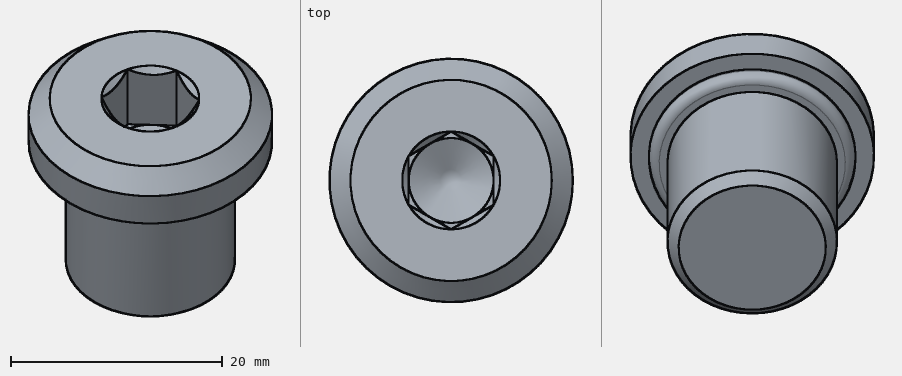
import cadquery as cq
import math

total_height = 21.5
head_diameter = 23.0
head_height = 5.5
head_chamfer = 2.0
shank_diameter = 16.0
shank_chamfer_width = 1.05
shank_chamfer_height = 1.0

socket_flats = 8.0
socket_depth = 7.0
socket_corners = socket_flats / math.cos(math.radians(30))
countersink_depth = (socket_corners - socket_flats) / 2
drill_diameter = socket_flats
drill_point_angle = 120.0
drill_point_depth = drill_diameter / 2 / math.tan(math.radians(drill_point_angle / 2))

ring_diameter = 19.5
ring_height = 1.22
ring_edge_radius = 0.97

head_bottom = total_height - head_height


def make_plug_blank():
    head_radius = head_diameter / 2
    shank_radius = shank_diameter / 2
    return (
        cq.Workplane("XZ")
        .moveTo(0, 0)
        .lineTo(shank_radius - shank_chamfer_width, 0)
        .lineTo(shank_radius, shank_chamfer_height)
        .lineTo(shank_radius, head_bottom)
        .lineTo(head_radius, head_bottom)
        .lineTo(head_radius, total_height - head_chamfer)
        .lineTo(head_radius - head_chamfer, total_height)
        .lineTo(0, total_height)
        .close()
        .revolve(360, (0, 0, 0), (0, 1, 0))
    )


def make_cone(top_radius, depth, top_height):
    """Cone pointing down, with its tip on the Z axis."""
    return (
        cq.Workplane("XZ")
        .moveTo(0, top_height - depth)
        .lineTo(top_radius, top_height)
        .lineTo(0, top_height)
        .close()
        .revolve(360, (0, 0, 0), (0, 1, 0))
    )


def make_socket():
    hexagon = (
        cq.Workplane("XY")
        .workplane(offset=total_height - socket_depth)
        .transformed(rotate=(0, 0, 90))
        .polygon(6, socket_corners)
        .extrude(socket_depth)
    )
    floor_cone = make_cone(drill_diameter / 2, drill_point_depth, total_height - socket_depth)
    countersink = cq.Workplane(
        cq.Solid.makeCone(
            socket_flats / 2,
            socket_corners / 2,
            countersink_depth,
            pnt=cq.Vector(0, 0, total_height - countersink_depth),
        )
    )
    return hexagon.union(floor_cone).union(countersink)


def make_sealing_ring():
    return (
        cq.Workplane("XY")
        .workplane(offset=head_bottom - ring_height)
        .circle(ring_diameter / 2)
        .extrude(ring_height)
        .faces("<Z")
        .edges()
        .fillet(ring_edge_radius)
        .faces("<Z")
        .workplane()
        .circle(shank_diameter / 2)
        .cutThruAll()
    )


plug = make_plug_blank().cut(make_socket())
sealing_ring = make_sealing_ring()

result = cq.Compound.makeCompound([plug.solids().val(), sealing_ring.solids().val()])